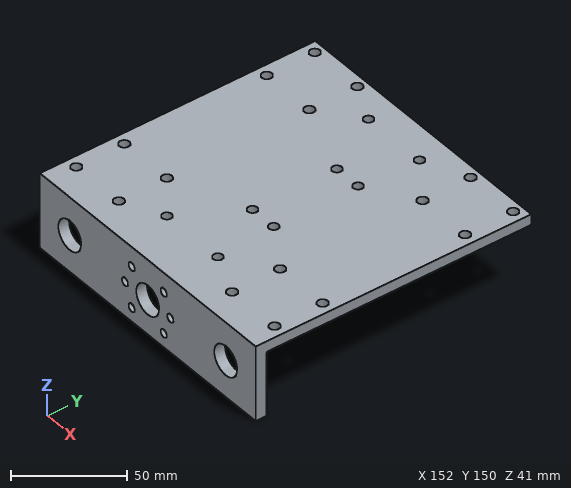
import cadquery as cq

width = 152.0
depth = 150.0
height = 41.0
thickness = 6.0
inner_fillet = 1.0

pattern_y = 5.0
corner_hole_diameter = 5.3
corner_outer_x = 69.8
corner_inner_x = 39.8
corner_outer_y = 64.9
corner_inner_y = 38.8
plate_hole_diameter = 5.0
middle_pair_center_x = -1.0
middle_pair_half_spacing = 18.0
middle_row_y = 54.9
inner_pair_spacing = 14.9
inner_row_y = 23.0

large_hole_diameter = 16.0
side_hole_x = 54.9
side_hole_z = 20.0
center_hole_z = 19.0
ring_radius = 16.0
ring_hole_diameter = 4.3
ring_angles = (-45, 0, 45, 135, 180, 225)


def plate_cutters(x_positions, y_offsets, diameter):
    """Vertical cylinders at each x, mirrored about the pattern line for each y offset."""
    points = [
        (x, pattern_y + side * y)
        for x in x_positions
        for y in y_offsets
        for side in (-1, 1)
    ]
    return cq.Workplane("XY").pushPoints(points).circle(diameter / 2).extrude(height)


def flange_plane(z):
    """Plane on the outer flange face, centred at height z, facing -Y."""
    return cq.Workplane("XZ", origin=(0, -depth / 2, z))


def make_bracket():
    """L-shaped body with a small fillet in the inner corner."""
    front = -depth / 2
    back = depth / 2
    profile = [
        (front, 0),
        (front + thickness, 0),
        (front + thickness, height - thickness),
        (back, height - thickness),
        (back, height),
        (front, height),
    ]
    body = cq.Workplane("YZ").polyline(profile).close().extrude(width / 2, both=True)
    inner_corner = cq.selectors.NearestToPointSelector((0, front + thickness, height - thickness))
    return body.edges("|X").edges(inner_corner).fillet(inner_fillet)


def cut_plate_holes(body):
    corner_xs = [side * x for x in (corner_outer_x, corner_inner_x) for side in (-1, 1)]
    middle_xs = [middle_pair_center_x + side * middle_pair_half_spacing for side in (-1, 1)]
    inner_xs = [0, inner_pair_spacing]
    body = body.cut(plate_cutters(corner_xs, (corner_outer_y, corner_inner_y), corner_hole_diameter))
    body = body.cut(plate_cutters(middle_xs, (middle_row_y,), plate_hole_diameter))
    return body.cut(plate_cutters(inner_xs, (inner_row_y,), plate_hole_diameter))


def cut_flange_holes(body):
    side_holes = flange_plane(side_hole_z).pushPoints([(-side_hole_x, 0), (side_hole_x, 0)])
    body = body.cut(side_holes.circle(large_hole_diameter / 2).extrude(-thickness))
    center_hole = flange_plane(center_hole_z).circle(large_hole_diameter / 2)
    body = body.cut(center_hole.extrude(-thickness))
    for angle in ring_angles:
        ring_hole = flange_plane(center_hole_z).polarArray(ring_radius, angle, 360, 1)
        body = body.cut(ring_hole.circle(ring_hole_diameter / 2).extrude(-thickness))
    return body


result = cut_flange_holes(cut_plate_holes(make_bracket()))